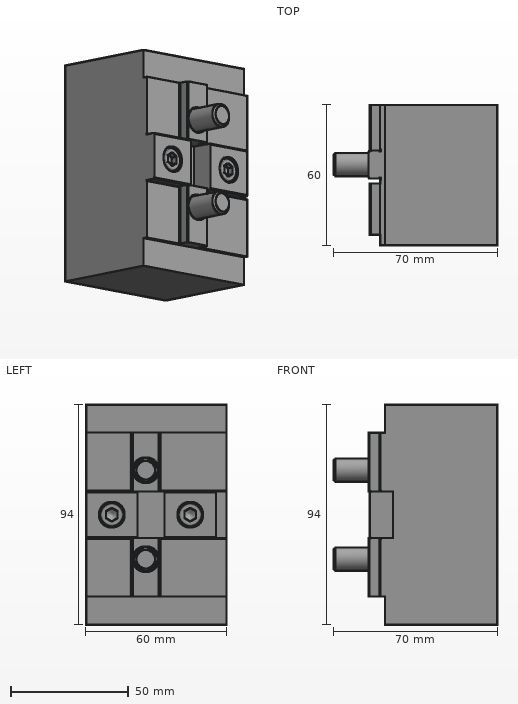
import cadquery as cq
import math

body_back_x = 50.0
body_front_x = 2.0
body_width = 60.0
body_height = 94.0

pad_height = 70.0

key_center_y = 4.5
key_width = 12.0
key_front_x = -5.0
edge_chamfer = 0.5

relief_reach = 0.7
relief_runout_length = 0.35
relief_runout_angle = 15.0
relief_corner_depth = 0.25

channel_height = 20.0
channel_floor_x = 5.5
channel_edge_chamfer = 0.4

block_front_x = -4.5
block_length = 22.0
block_center_ys = (19.0, -14.5)

screw_bore_diameter = 11.0
screw_bore_depth = 6.0
screw_head_diameter = 10.0
screw_head_recess = 0.2
screw_head_fillet = 0.6
socket_sides = 6
socket_across_flats = 5.0
socket_depth = 2.8
socket_tip_angle = 120.0

pin_diameter = 10.0
pin_tip_x = -20.0
pin_tip_chamfer = 1.0
pin_center_z = 19.0
pin_bore_diameter = 11.0
pin_bore_floor_x = 0.0


def box_between(x_range, y_center, y_size, z_size):
    """Box spanning x_range, centred on Z = 0 and on y_center."""
    x_start, x_end = x_range
    box = cq.Workplane("XY").box(x_end - x_start, y_size, z_size)
    return box.translate(((x_start + x_end) / 2, y_center, 0))


def rod_between(x_range, y_center, z_center, diameter):
    """Cylinder along X spanning x_range."""
    x_start, x_end = x_range
    rod = cq.Workplane("YZ").circle(diameter / 2).extrude(x_end - x_start)
    return rod.translate((x_start, y_center, z_center))


def make_channel_cutter():
    """Channel with its long edges chamfered where it opens on the pad face."""
    half_height = channel_height / 2
    profile = [
        (channel_floor_x, -half_height),
        (channel_floor_x, half_height),
        (channel_edge_chamfer, half_height),
        (0, half_height + channel_edge_chamfer),
        (0, -half_height - channel_edge_chamfer),
        (channel_edge_chamfer, -half_height),
    ]
    cutter = cq.Workplane("XZ").polyline(profile).close().extrude(body_width)
    return cutter.translate((0, body_width / 2, 0))


def make_body():
    body = box_between((body_front_x, body_back_x), 0, body_width, body_height)
    pad = box_between((0, body_front_x), 0, body_width, pad_height)
    return body.union(pad).cut(make_channel_cutter())


def make_key():
    key = box_between((key_front_x, body_front_x), key_center_y, key_width, pad_height)
    key = key.faces("<X").edges("|Z").chamfer(edge_chamfer)
    return key.cut(box_between((key_front_x, body_front_x), key_center_y, key_width, channel_height))


def make_key_relief(side):
    """Undercut running along the root corner on one side of the key."""

    def corner_point(x, outward):
        """Point at depth x into the pad and at an outward distance from the key flank."""
        return (x, key_center_y + side * (key_width / 2 + outward))

    arc_start = relief_reach - relief_runout_length
    runout_depth = relief_runout_length * math.tan(math.radians(relief_runout_angle))
    relief = (
        cq.Workplane("XY")
        .moveTo(*corner_point(-relief_reach, 0))
        .lineTo(*corner_point(-arc_start, -runout_depth))
        .threePointArc(
            corner_point(relief_corner_depth, -relief_corner_depth),
            corner_point(runout_depth, arc_start),
        )
        .lineTo(*corner_point(0, relief_reach))
        .lineTo(*corner_point(-relief_reach, relief_reach))
        .close()
        .extrude(pad_height)
    )
    return relief.translate((0, 0, -pad_height / 2))


def make_block(center_y):
    block = box_between((block_front_x, channel_floor_x), center_y, block_length, channel_height)
    block = block.faces("<X").edges("|Y").chamfer(edge_chamfer)
    bore_floor_x = block_front_x + screw_bore_depth
    block = block.cut(rod_between((block_front_x, bore_floor_x), center_y, 0, screw_bore_diameter))
    return block.union(make_screw_head(center_y))


def make_screw_head(center_y):
    face_x = block_front_x + screw_head_recess
    head = rod_between((face_x, channel_floor_x), center_y, 0, screw_head_diameter)
    return head.faces("<X").edges().fillet(screw_head_fillet)


def make_socket(center_y):
    """Hexagonal socket ending in a drill point."""
    face_x = block_front_x + screw_head_recess
    corner_diameter = socket_across_flats / math.cos(math.pi / socket_sides)
    corner_radius = corner_diameter / 2
    tip_depth = corner_radius / math.tan(math.radians(socket_tip_angle / 2))
    hexagon = cq.Workplane("YZ").polygon(socket_sides, corner_diameter).extrude(socket_depth + tip_depth)
    hexagon = hexagon.rotate((0, 0, 0), (1, 0, 0), 180 / socket_sides)
    drill = (
        cq.Workplane("XY")
        .polyline([
            (0, 0),
            (0, corner_radius),
            (socket_depth, corner_radius),
            (socket_depth + tip_depth, 0),
        ])
        .close()
        .revolve(360, (0, 0, 0), (1, 0, 0))
    )
    return hexagon.intersect(drill).translate((face_x, center_y, 0))


def make_pin(center_z):
    pin = rod_between((pin_tip_x, channel_floor_x), key_center_y, center_z, pin_diameter)
    return pin.faces("<X").chamfer(pin_tip_chamfer)


def make_pin_bore(center_z):
    bore_range = (key_front_x, pin_bore_floor_x)
    return rod_between(bore_range, key_center_y, center_z, pin_bore_diameter)


result = make_body().union(make_key())
for side in (-1, 1):
    result = result.cut(make_key_relief(side))

for center_y in block_center_ys:
    result = result.union(make_block(center_y)).cut(make_socket(center_y))

for center_z in (-pin_center_z, pin_center_z):
    result = result.cut(make_pin_bore(center_z)).union(make_pin(center_z))